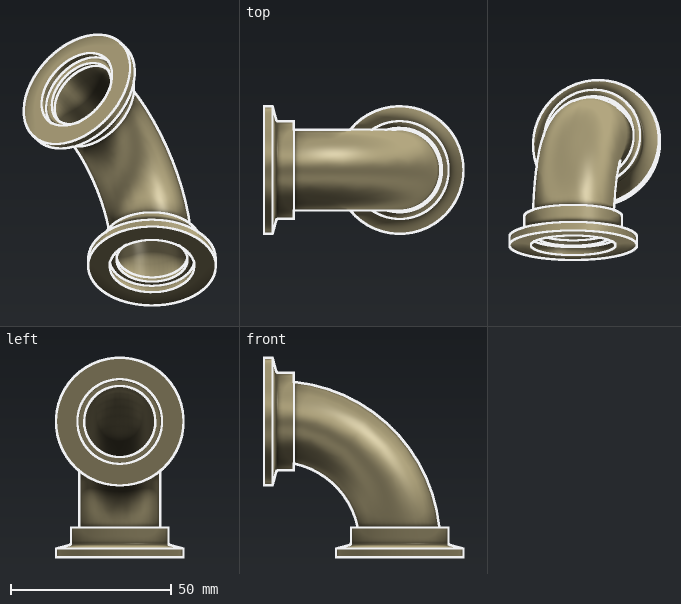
import cadquery as cq
import math

overall_length = 62.35
flange_radius = 19.95

rim_thickness = 2.75
back_taper_angle = 15.0
collar_radius = 15.3
collar_end = 9.35
neck_fillet = 0.45
recess_depth = 2.55
lip_thickness = 1.7
recess_radius = 13.2

selection_margin = 0.05

tube_outer_radius = 12.65
tube_inner_radius = 11.1

tube_start = recess_depth + lip_thickness
taper_end = rim_thickness + (flange_radius - collar_radius) * math.tan(math.radians(back_taper_angle))
flange_axis_offset = overall_length - flange_radius
bend_radius = flange_axis_offset - tube_start


def make_flange():
    """Flange standing on Z = 0: tapered rim, collar, face recess, inner lip and tube socket."""
    body = (
        cq.Workplane("XZ")
        .polyline([
            (0, 0),
            (flange_radius, 0),
            (flange_radius, rim_thickness),
            (collar_radius, taper_end),
            (collar_radius, collar_end),
            (0, collar_end),
        ])
        .close()
        .revolve(360, (0, 0, 0), (0, 1, 0))
    )
    neck_edge = cq.selectors.BoxSelector(
        (-flange_radius, -flange_radius, taper_end - selection_margin),
        (flange_radius, flange_radius, taper_end + selection_margin),
        boundingbox=True,
    )
    body = body.edges(neck_edge).fillet(neck_fillet)

    recess = cq.Workplane("XY").circle(recess_radius).extrude(recess_depth)
    lip_bore = cq.Workplane("XY").circle(tube_inner_radius).extrude(collar_end)
    socket = (
        cq.Workplane("XY", origin=(0, 0, tube_start))
        .circle(recess_radius)
        .extrude(collar_end - tube_start)
    )
    return body.cut(recess).cut(lip_bore).cut(socket)


def make_tube():
    """Quarter-turn elbow from the lower flange's lip to the side flange's lip."""
    return (
        cq.Workplane("XY", origin=(0, 0, tube_start))
        .circle(tube_outer_radius)
        .circle(tube_inner_radius)
        .revolve(90, (-bend_radius, 0, 0), (-bend_radius, -1, 0))
    )


flange_placements = [
    (0, (0, 0, 0)),
    (90, (-flange_axis_offset, 0, flange_axis_offset)),
]
flanges = [
    make_flange().rotate((0, 0, 0), (0, 1, 0), turn).translate(place)
    for turn, place in flange_placements
]
tube = make_tube()

result = cq.Compound.makeCompound([tube.val(), *[flange.val() for flange in flanges]])